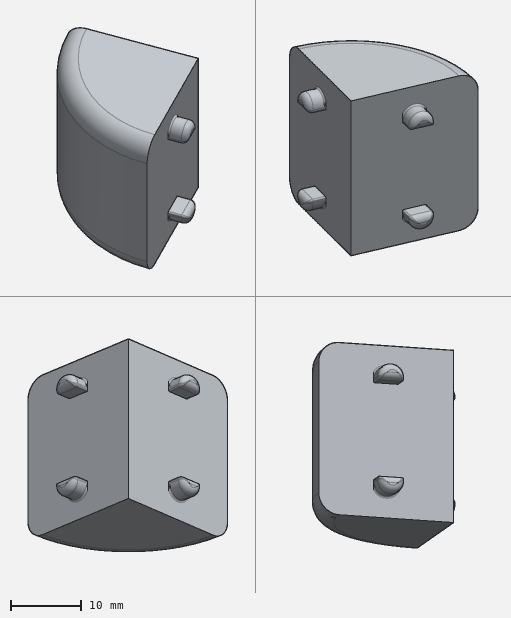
import cadquery as cq
import math

body_radius = 20.0
body_height = 25.0
body_edge_radius = 3.0

peg_length = 3.0
peg_width = 3.8
peg_height = 2.4
peg_end_radius = 1.0
peg_flat_edge_radius = 0.25
peg_flat_offset = 7.0
peg_embed = 1.0

root_radius = 0.25

half_width = peg_width / 2
crown_base = peg_height - half_width
peg_across = body_radius / 2
mid_height = body_height / 2


def make_body():
    """Quarter cylinder with its two curved rims rounded."""
    diagonal = body_radius * math.sqrt(0.5)
    body = (
        cq.Workplane("XY")
        .moveTo(0, 0)
        .lineTo(-body_radius, 0)
        .threePointArc((-diagonal, -diagonal), (0, -body_radius))
        .close()
        .extrude(body_height)
    )
    return body.edges("%CIRCLE").fillet(body_edge_radius)


def make_bar():
    """Round-backed bar along +X, reaching below the peg's flat side and into the body."""
    return (
        cq.Workplane("YZ", origin=(-peg_embed, 0, 0))
        .moveTo(-half_width, -peg_height)
        .lineTo(half_width, -peg_height)
        .lineTo(half_width, crown_base)
        .threePointArc((0, peg_height), (-half_width, crown_base))
        .close()
        .extrude(peg_embed + peg_length)
    )


def make_block(length, bottom):
    """Block as wide as a peg, from inside the body out to X = length, rising from Z = bottom."""
    block = cq.Workplane("XY", origin=(-peg_embed, 0, bottom))
    return block.box(peg_embed + length, peg_width, 2 * peg_height, centered=(False, True, False))


def make_peg_shank():
    """Bar with a rounded free end, cut off at the flat side, whose long edges are eased."""
    bar = make_bar().faces(">X").edges("not <Z").fillet(peg_end_radius)
    flat_side = make_block(peg_length, 0).faces("<Z").edges(">X").fillet(peg_end_radius)
    shank = bar.intersect(flat_side)
    return shank.faces("<Z").edges("|X").fillet(peg_flat_edge_radius)


def make_peg_root():
    """Root fillet of the round back, kept within the peg's width so it fades out at the sides."""
    plate = cq.Workplane("XY", origin=(-peg_embed, 0, 0)).box(
        peg_embed, 2 * peg_width, 4 * peg_height, centered=(False, True, True)
    )
    filleted = make_bar().union(plate).edges("%CIRCLE and (not >X)").fillet(root_radius)
    return filleted.intersect(make_block(root_radius, crown_base))


def make_peg():
    """Peg along +X from the YZ plane: flat side on Z = 0, round back towards +Z."""
    return make_peg_shank().union(make_peg_root())


def place_peg_pair(peg):
    """Two mirrored pegs on the X = 0 side, round backs facing away from mid-height."""
    upper = peg.translate((0, -peg_across, mid_height + peg_flat_offset))
    lower = upper.mirror("XY", (0, 0, mid_height))
    return upper.union(lower)


x_side_pegs = place_peg_pair(make_peg())
y_side_pegs = x_side_pegs.rotate((0, 0, 0), (0, 0, 1), 90).mirror("YZ")

result = make_body().union(x_side_pegs).union(y_side_pegs)